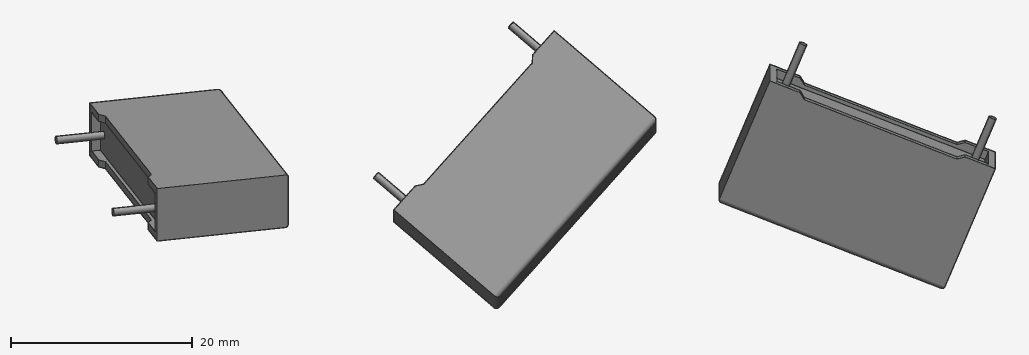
import cadquery as cq

case_width = 26.8
case_depth = 15.15
case_height = 6.22
wall = 0.83
back_edge_radius = 0.48

notch_depth = 0.55
notch_mouth_inset = 3.6
notch_floor_inset = 4.35

potting_recess = 1.0

lead_diameter = 0.85
lead_pitch = 22.5
lead_protrusion = 4.45

cavity_width = case_width - 2 * wall
cavity_height = case_height - 2 * wall
cavity_depth = case_depth - wall


def centered_box(width, height, front_y, back_y):
    """Box centered on X and Z, spanning front_y to back_y along Y."""
    depth = back_y - front_y
    return cq.Workplane("XY").box(width, depth, height).translate((0, front_y + depth / 2, 0))


def make_rim_notch():
    """Trapezoidal cutter that passes through both long rim walls."""
    mouth_x = case_width / 2 - notch_mouth_inset
    floor_x = case_width / 2 - notch_floor_inset
    return (
        cq.Workplane("XY")
        .polyline([(-mouth_x, 0), (mouth_x, 0), (floor_x, notch_depth), (-floor_x, notch_depth)])
        .close()
        .extrude(case_height / 2, both=True)
    )


def make_case():
    """Thin-walled case with rounded back edges and a notched rim."""
    shell = centered_box(case_width, case_height, 0, case_depth)
    shell = shell.faces(">Y").edges().fillet(back_edge_radius)
    cavity = centered_box(cavity_width, cavity_height, 0, cavity_depth)
    return shell.cut(cavity).cut(make_rim_notch())


def make_potting():
    """Block that fills the cavity up to its recessed front face."""
    return centered_box(cavity_width, cavity_height, potting_recess, cavity_depth)


def make_lead(center_x):
    """Round lead that runs from the potting face out past the rim along -Y."""
    return (
        cq.Workplane("XZ", origin=(center_x, potting_recess, 0))
        .circle(lead_diameter / 2)
        .extrude(potting_recess + lead_protrusion)
    )


case = make_case()
potting = make_potting()
leads = [make_lead(side * lead_pitch / 2) for side in (-1, 1)]

result = cq.Compound.makeCompound([case.val(), potting.val(), *[lead.val() for lead in leads]])